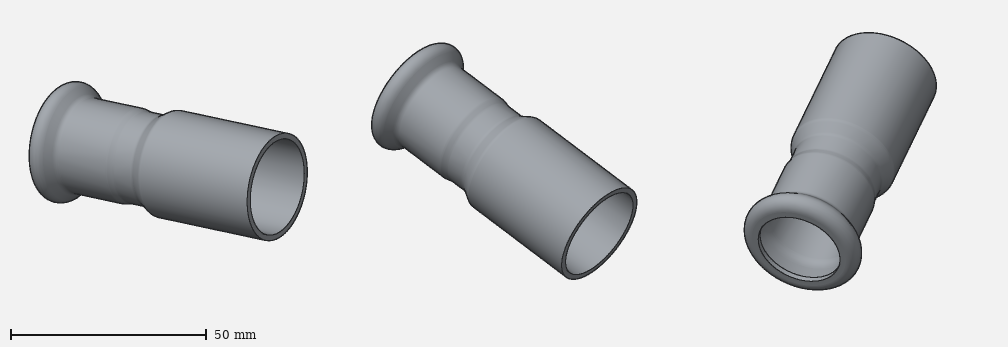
import cadquery as cq
import math

length = 67.0
wall = 1.5

bead_radius = 15.75
socket_radius = 25.0 / 2
waist_radius = 24.0 / 2
spigot_radius = 28.0 / 2

socket_bore = 22.1 / 2
stop_bore = 18.95 / 2
spigot_bore = spigot_radius - wall

bead_round = 3.0
bead_ring = bead_radius - bead_round
bead_slope = 45.0
socket_blend = 2.1

stop_x = 22.65
step_x = 22.9
step_slope = 15.0
step_blend = 2.35
flare_x = 30.4
flare_slope = 30.0
flare_blend = 2.0


def slope_run(rise, slope):
    """Axial length of a cone that changes the radius by rise."""
    return abs(rise) / math.tan(math.radians(slope))


def on_circle(center, radius, angle):
    """Point on a circle, with the angle in degrees from the +X direction."""
    turn = math.radians(angle)
    return (center[0] + radius * math.cos(turn), center[1] + radius * math.sin(turn))


def rounded_corner(path, before, corner, after, radius):
    """Draw a line to a corner and round it with an arc tangent to both sides."""
    point = cq.Vector(*corner)
    back = (cq.Vector(*before) - point).normalized()
    ahead = (cq.Vector(*after) - point).normalized()
    half_angle = back.getAngle(ahead) / 2
    setback = radius / math.tan(half_angle)
    to_arc = radius / math.sin(half_angle) - radius
    middle = point + (back + ahead).normalized() * to_arc
    start = point + back * setback
    end = point + ahead * setback
    return path.lineTo(start.x, start.y).threePointArc((middle.x, middle.y), (end.x, end.y))


def rolled_mouth(face_x, mouth_radius, bead_arc, tube_radius, blend):
    """Half profile from the mouth over the bead to the start of the straight socket."""
    center = (bead_round, bead_ring)
    cone_start = on_circle(center, bead_arc, bead_slope)
    corner_x = cone_start[0] + slope_run(cone_start[1] - tube_radius, bead_slope)
    path = cq.Workplane("XY").moveTo(face_x, mouth_radius).lineTo(face_x, bead_ring)
    middle_angle = (180 + bead_slope) / 2
    path = path.threePointArc(on_circle(center, bead_arc, middle_angle), cone_start)
    corner = (corner_x, tube_radius)
    return rounded_corner(path, cone_start, corner, (stop_x, tube_radius), blend)


def revolve_profile(path):
    return path.close().revolve(360, (0, 0), (1, 0))


def outer_body():
    path = rolled_mouth(0, 0, bead_round, socket_radius, socket_blend)
    corners = [
        (0, socket_radius),
        (step_x, socket_radius),
        (step_x + slope_run(socket_radius - waist_radius, step_slope), waist_radius),
        (flare_x, waist_radius),
        (flare_x + slope_run(spigot_radius - waist_radius, flare_slope), spigot_radius),
        (length, spigot_radius),
    ]
    blends = [step_blend, step_blend, flare_blend, flare_blend]
    for index, blend in enumerate(blends):
        path = rounded_corner(path, *corners[index:index + 3], blend)
    return revolve_profile(path.lineTo(length, spigot_radius).lineTo(length, 0))


def socket_cavity():
    """Seal groove under the bead and the socket up to the tube stop."""
    path = rolled_mouth(wall, 0, bead_round - wall, socket_bore, socket_blend + wall)
    return revolve_profile(path.lineTo(stop_x, socket_bore).lineTo(stop_x, 0))


def mouth_opening():
    return cq.Workplane("YZ").circle(socket_bore).extrude(stop_x)


def spigot_cavity():
    """Bore through the stop, flaring out to the spigot bore."""
    flare_end = flare_x + slope_run(spigot_radius - waist_radius, flare_slope)
    flare_start = flare_end - slope_run(spigot_bore - stop_bore, flare_slope)
    path = cq.Workplane("XY").moveTo(0, 0).lineTo(0, stop_bore).lineTo(flare_start, stop_bore)
    path = path.lineTo(flare_end, spigot_bore).lineTo(length, spigot_bore).lineTo(length, 0)
    return revolve_profile(path)


result = outer_body().cut(socket_cavity()).cut(mouth_opening()).cut(spigot_cavity())